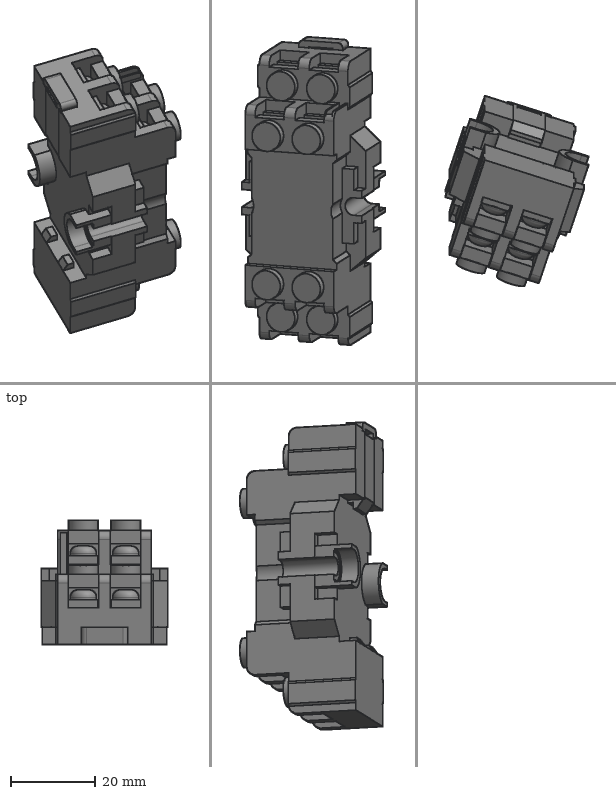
import cadquery as cq
OVERALL_LENGTH = 70.6
OVERCUT = 0.7

BODY_HALF_WIDTH = 11.1
END_Z = 34.45
STEP_Z = 24.6
HIGH_TIER_INNER_Z = 14.05
BACK_Y = -14.75
RAIL_FACE_Y = -10.6
RAIL_HALF_HEIGHT = 17.65
WAIST_Y = 10.25
HIGH_TIER_Y = 12.3
LOW_TIER_Y = 1.9
TIER_EDGE_RADIUS = 2.05
Z_SHIFT = OVERALL_LENGTH / 2 - END_Z

WAIST_INSET = 0.9
WAIST_SLOPE_Z = 12.6
FLANGE_FRONT_Y = 0.35

FLANGE_HALF_WIDTH = 30.0 / 2
FLANGE_STRAIGHT_Z = 13.0
FLANGE_ROOT_Z = 16.45
HOLE_X = 13.0
HOLE_RADIUS = 2.1
COUNTERBORE_RADIUS = 3.95
SEAT_RADIUS = 3.45
SEAT_DEPTH = 0.3
BOSS_X = 12.7
BOSS_RADIUS = 5.3
BOSS_HALF_HEIGHT = 4.95
BOSS_HALF_WIDTH = 14.75
POCKET_X = 12.6
POCKET_HALF_HEIGHT = 7.9
POCKET_FLOOR_Y = -5.7
PAD_FRONT_Y = 3.3
PAD_HALF_HEIGHT = 3.95
SHOULDER_HALF_HEIGHT = 9.05
SHOULDER_X = 13.05
WAIST_GROOVE_RADIUS = 3.3

TERMINAL_X = 5.0
TERMINAL_RADIUS = 3.5
HIGH_TERMINAL_Z = 18.0
LOW_TERMINAL_Z = 28.0
HIGH_TERMINAL_TIP_Y = 14.75
LOW_TERMINAL_TIP_Y = 4.0
ENTRY_HALF_WIDTH = 3.6
ENTRY_LENGTH = 8.0
BRIDGE_LENGTH = 3.2
BRIDGE_RISE = 3.95
PLATE_THICKNESS = 2.0
PLATE_GAP = 0.2
SCREW_HEAD_RADIUS = 3.1
SCREW_HEAD_HEIGHT = 2.3
SCREW_DOME_RADIUS = 1.8

KEY_HEIGHT = 0.4
KEY_CHAMFER_LENGTH = 0.6
KEY_LENGTH = 6.0
INNER_KEY_Z = 26.05
OUTER_KEY_Z = 29.65
GROOVE_LEFT_X = -10.45
GROOVE_WIDTH = 1.55
GROOVE_FRONT_Y = 11.7
GROOVE_DEPTH = 2.1
TOOTH_X = 5.1
TOOTH_WIDTH = 3.1
TOOTH_HEIGHT = 1.55
TOOTH_ROOT_Y = -11.9
TOOTH_TIP_Y = -13.55

CLIP_HALF_WIDTH = 3.95
TAB_HALF_WIDTH = 5.5
TAB_BOTTOM_Z = 33.9
TAB_TOP_Z = OVERALL_LENGTH - END_Z
TAB_RADIUS = 1.1
HOOK_TIP_Z = 15.5
HOOK_SLOPE_Z = 18.15
HOOK_SLOPE_Y = -12.85
HOOK_THROAT_Z = 17.0
HOOK_INNER_Y = -11.9
TOOL_SLOT_HALF_WIDTH = 3.0
TOOL_SLOT_BOTTOM_Z = 33.4
TOOL_SLOT_HEIGHT = 1.3


def block(x_range, y_range, z_range):
    """Box between pairs of coordinates, given in either order."""
    sizes = [abs(b - a) for a, b in (x_range, y_range, z_range)]
    middle = [(a + b) / 2 for a, b in (x_range, y_range, z_range)]
    return cq.Workplane("XY").box(*sizes).translate(tuple(middle))


def extrude_x(points, half_width):
    """Extrude a closed (y, z) outline symmetrically along X."""
    return cq.Workplane("YZ").polyline(points).close().extrude(half_width, both=True)


def extrude_y(points, y_start, y_end):
    """Extrude a closed (x, z) outline from y_start to y_end."""
    outline = cq.Workplane("XZ", origin=(0, y_start, 0)).polyline(points).close()
    return outline.extrude(y_start - y_end)


def cylinder_y(x, z, radius, y_start, y_end):
    """Cylinder along Y."""
    circle = cq.Workplane("XZ", origin=(x, y_start, z)).circle(radius)
    return circle.extrude(y_start - y_end)


def u_prism(side, x, radius, x_end, y_start, y_end):
    """Round-ended bar along Y: a cylinder at side * x, continued straight out to side * x_end."""
    straight = block((side * x, side * x_end), (y_start, y_end), (-radius, radius))
    return cylinder_y(side * x, 0, radius, y_start, y_end).union(straight)


def stepped_body():
    half = [
        (BACK_Y, END_Z),
        (LOW_TIER_Y, END_Z),
        (LOW_TIER_Y, STEP_Z),
        (HIGH_TIER_Y, STEP_Z),
        (HIGH_TIER_Y, HIGH_TIER_INNER_Z),
        (WAIST_Y, HIGH_TIER_INNER_Z),
    ]
    rail_edges = [(RAIL_FACE_Y, -RAIL_HALF_HEIGHT), (RAIL_FACE_Y, RAIL_HALF_HEIGHT)]
    outline = half + [(y, -z) for y, z in reversed(half)]
    outline += [(BACK_Y, -RAIL_HALF_HEIGHT)] + rail_edges + [(BACK_Y, RAIL_HALF_HEIGHT)]
    body = extrude_x(outline, BODY_HALF_WIDTH)
    for y, z in ((LOW_TIER_Y, END_Z), (HIGH_TIER_Y, STEP_Z)):
        for end in (-1, 1):
            corner = cq.selectors.NearestToPointSelector((0, y, end * z))
            body = body.edges(corner).fillet(TIER_EDGE_RADIUS)
    return body


def waist_cut(side):
    """Thin side cut with 45 degree ends that narrows the waist in front of the flange."""
    inner_x = side * (BODY_HALF_WIDTH - WAIST_INSET)
    outer_x = side * BODY_HALF_WIDTH
    inner_z = WAIST_SLOPE_Z - WAIST_INSET
    outline = [(outer_x, -WAIST_SLOPE_Z), (inner_x, -inner_z), (inner_x, inner_z), (outer_x, WAIST_SLOPE_Z)]
    return extrude_y(outline, FLANGE_FRONT_Y, WAIST_Y)


def flange():
    outline = [
        (-BODY_HALF_WIDTH, FLANGE_ROOT_Z),
        (BODY_HALF_WIDTH, FLANGE_ROOT_Z),
        (FLANGE_HALF_WIDTH, FLANGE_STRAIGHT_Z),
        (FLANGE_HALF_WIDTH, -FLANGE_STRAIGHT_Z),
        (BODY_HALF_WIDTH, -FLANGE_ROOT_Z),
        (-BODY_HALF_WIDTH, -FLANGE_ROOT_Z),
        (-FLANGE_HALF_WIDTH, -FLANGE_STRAIGHT_Z),
        (-FLANGE_HALF_WIDTH, FLANGE_STRAIGHT_Z),
    ]
    return extrude_y(outline, RAIL_FACE_Y, FLANGE_FRONT_Y)


def add_mounting_hole(body, side):
    """Open-sided, counterbored mounting hole with its boss, pocket and front pads."""
    outside_x = FLANGE_HALF_WIDTH + OVERCUT
    inner_x = side * (BODY_HALF_WIDTH - WAIST_INSET)
    pad_y = (FLANGE_FRONT_Y, PAD_FRONT_Y)
    pad = block((inner_x, side * FLANGE_HALF_WIDTH), pad_y, (-PAD_HALF_HEIGHT, PAD_HALF_HEIGHT))
    shoulder = block((inner_x, side * SHOULDER_X), pad_y, (-SHOULDER_HALF_HEIGHT, SHOULDER_HALF_HEIGHT))
    pocket = block(
        (side * POCKET_X, side * outside_x),
        (RAIL_FACE_Y, POCKET_FLOOR_Y),
        (-POCKET_HALF_HEIGHT, POCKET_HALF_HEIGHT),
    )
    boss_y = (BACK_Y, POCKET_FLOOR_Y)
    boss_limit = block((0, side * BOSS_HALF_WIDTH), boss_y, (-BOSS_HALF_HEIGHT, BOSS_HALF_HEIGHT))
    boss = u_prism(side, BOSS_X, BOSS_RADIUS, BOSS_HALF_WIDTH, *boss_y).intersect(boss_limit)
    body = body.union(pad).union(shoulder).cut(pocket).union(boss)

    seat_y = RAIL_FACE_Y + SEAT_DEPTH
    body = body.cut(u_prism(side, HOLE_X, COUNTERBORE_RADIUS, outside_x, BACK_Y, RAIL_FACE_Y))
    body = body.cut(u_prism(side, HOLE_X, SEAT_RADIUS, outside_x, RAIL_FACE_Y, seat_y))
    body = body.cut(u_prism(side, HOLE_X, HOLE_RADIUS, outside_x, seat_y, PAD_FRONT_Y))
    return body.cut(cylinder_y(side * HOLE_X, 0, WAIST_GROOVE_RADIUS, PAD_FRONT_Y, WAIST_Y))


def add_terminal(body, side, end, axis_z, tier_z, front_y, tip_y):
    """Round terminal boss on the tier front, with a wire entry and screw behind it."""
    x = side * TERMINAL_X
    full_width = (x - ENTRY_HALF_WIDTH, x + ENTRY_HALF_WIDTH)
    floor_z = axis_z + BRIDGE_RISE
    rear_y = front_y - ENTRY_LENGTH
    plate_y = rear_y + PLATE_THICKNESS
    bridge_y = front_y - BRIDGE_LENGTH
    pocket_floor_z = axis_z - SCREW_HEAD_RADIUS
    plate_width = (x + side * ENTRY_HALF_WIDTH, x - side * (ENTRY_HALF_WIDTH - PLATE_GAP))

    entry = block(full_width, (rear_y, front_y), (end * floor_z, end * tier_z))
    pocket = block(full_width, (rear_y, bridge_y), (end * pocket_floor_z, end * tier_z))
    plate = block(plate_width, (rear_y, plate_y), (end * pocket_floor_z, end * floor_z))
    screw = cylinder_y(x, end * axis_z, SCREW_HEAD_RADIUS, plate_y, plate_y + SCREW_HEAD_HEIGHT)
    screw = screw.faces(">Y").edges().fillet(SCREW_DOME_RADIUS)
    boss = cylinder_y(x, end * axis_z, TERMINAL_RADIUS, bridge_y, tip_y)
    return body.cut(entry).cut(pocket).union(plate).union(screw).union(boss)


def side_key(side, middle_z):
    """Raised key on the side of a low tier, with sloped ends."""
    root_x = side * BODY_HALF_WIDTH
    crest_x = side * (BODY_HALF_WIDTH + KEY_HEIGHT)
    root_half = KEY_LENGTH / 2
    crest_half = root_half - KEY_CHAMFER_LENGTH
    outline = [
        (root_x, middle_z - root_half),
        (crest_x, middle_z - crest_half),
        (crest_x, middle_z + crest_half),
        (root_x, middle_z + root_half),
    ]
    return extrude_y(outline, BACK_Y, LOW_TIER_Y)


def rail_tooth(side):
    """Fixed tooth that hooks behind the lower edge of the rail."""
    root_z = -RAIL_HALF_HEIGHT
    tip_z = root_z + TOOTH_HEIGHT
    outline = [(BACK_Y, root_z), (TOOTH_TIP_Y, tip_z), (TOOTH_ROOT_Y, tip_z), (TOOTH_ROOT_Y, root_z)]
    return extrude_x(outline, TOOTH_WIDTH / 2).translate((side * TOOTH_X, 0, 0))


def clip_blank(bottom_z):
    """T-shaped clip without its hook, from bottom_z up; also the shape of its channel."""
    clip_y = (BACK_Y, RAIL_FACE_Y)
    strip = block((-CLIP_HALF_WIDTH, CLIP_HALF_WIDTH), clip_y, (bottom_z, TAB_BOTTOM_Z))
    tab = block((-TAB_HALF_WIDTH, TAB_HALF_WIDTH), clip_y, (TAB_BOTTOM_Z, TAB_TOP_Z))
    tab = tab.edges("|Y").edges(">Z").fillet(TAB_RADIUS)
    return strip.union(tab)


def make_housing():
    body = stepped_body()
    for side in (-1, 1):
        body = body.cut(waist_cut(side))
    body = body.union(flange())
    for side in (-1, 1):
        body = add_mounting_hole(body, side)
        for end in (-1, 1):
            body = add_terminal(body, side, end, HIGH_TERMINAL_Z, STEP_Z, HIGH_TIER_Y, HIGH_TERMINAL_TIP_Y)
            body = add_terminal(body, side, end, LOW_TERMINAL_Z, END_Z, LOW_TIER_Y, LOW_TERMINAL_TIP_Y)
        body = body.union(side_key(side, -side * INNER_KEY_Z))
        body = body.union(side_key(side, side * OUTER_KEY_Z))
        body = body.union(rail_tooth(side))
    groove = block(
        (GROOVE_LEFT_X, GROOVE_LEFT_X + GROOVE_WIDTH),
        (LOW_TIER_Y, GROOVE_FRONT_Y),
        (STEP_Z - GROOVE_DEPTH, STEP_Z),
    )
    return body.cut(groove).cut(clip_blank(RAIL_HALF_HEIGHT))


def make_clip():
    hook = extrude_x(
        [
            (BACK_Y, HOOK_SLOPE_Z),
            (HOOK_SLOPE_Y, HOOK_TIP_Z),
            (HOOK_INNER_Y, HOOK_TIP_Z),
            (HOOK_INNER_Y, HOOK_THROAT_Z),
            (RAIL_FACE_Y, HOOK_THROAT_Z),
            (RAIL_FACE_Y, HOOK_SLOPE_Z),
        ],
        CLIP_HALF_WIDTH,
    )
    tool_slot = block(
        (-TOOL_SLOT_HALF_WIDTH, TOOL_SLOT_HALF_WIDTH),
        (BACK_Y, RAIL_FACE_Y),
        (TOOL_SLOT_BOTTOM_Z, TOOL_SLOT_BOTTOM_Z + TOOL_SLOT_HEIGHT),
    )
    return clip_blank(HOOK_SLOPE_Z).union(hook).cut(tool_slot)


shift = (0, 0, -Z_SHIFT)
housing = make_housing().translate(shift)
clip = make_clip().translate(shift)
result = cq.Compound.makeCompound([housing.val(), clip.val()])